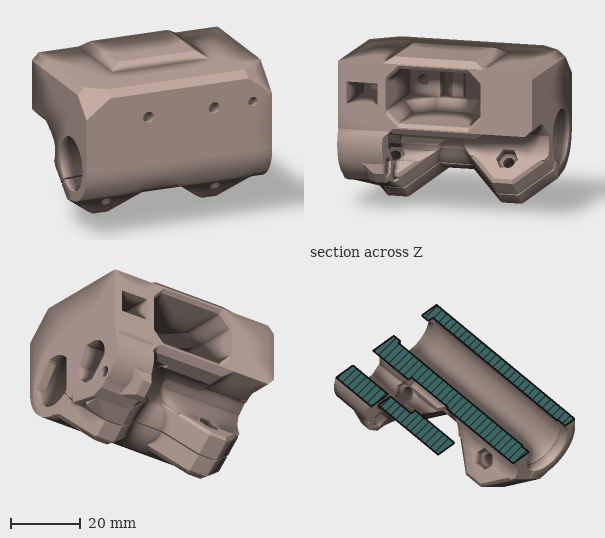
import cadquery as cq
import math

LENGTH = 58.0
BODY_RIGHT = 39.25
BODY_BOTTOM = 23.95
BODY_TOP = 42.9
EDGE_CHAMFER = 2.1
CORNER_LEGS = (8.4, 10.1, 7.8)

BORE_X = 28.35
BORE_Z = 18.5
BORE_R = 7.8
BORE_WALL_R = BODY_RIGHT - BORE_X
ENTRY_R = 8.05
ENTRY_DEPTH = 3.0
STOP_DEPTH = 2.9
STOP_LEFT_X = 22.5
STOP_SLOPE = ((30.9, 25.5), (36.25, 18.6))

EAR_ANGLE = 50.0
EAR_TIP = 19.7
EAR_TIP_HALF = 3.1
EAR_LOWER = 7.0
EAR_UPPER = 7.35
WEB_INSET = 2.9
WEB_THICKNESS = 14.5
EAR_LOWER_CHAMFER = (1.75, 1.45)
EAR_UPPER_CHAMFER = (1.05, 0.75)
EAR_SPACING = 34.0
SLIT_WIDTH = 0.5
EAR_SCREW_U = 12.2
EAR_SCREW_REACH = 11.6
EAR_NUT_TURN = 30.0
EAR_NUT_DEPTH = 2.3
SCREW_D = 3.3
NUT_CORNERS = 6.55

TROUGH_X = 10.05
TROUGH_Z = BORE_Z
TROUGH_R = 13.5 / 2
TROUGH_FLAT = 6.25
WEB_BOTTOM = 16.25
RELIEF_CENTER = (11.85, 17.2)
RELIEF_R = 6.4
FUNNEL_X = 7.3
FUNNEL_R = 7.7
BOSS_R = 11.0
BOSS_FRONT = 44.55
BOSS_SLOPE_BOTTOM = 21.0
BOSS_ARC_END = 240.0
BOSS_FOOT_X = 6.4
BOSS_SLIT_REACH = 13.9
BOSS_TOE = (10.15, 6.1)
TOE_REAR = 56.25
CHANNEL_R = 5.3
CHANNEL_START = 33.65
CHANNEL_FLOOR = 11.85
CHANNEL_FLOOR_END = 13.9
CHANNEL_SLOPE = 5.8
CHANNEL_SIDE_Z = 14.4
CHANNEL_TOP_END = 13.4
LUG_LEFT = 0.2
LUG_RIGHT = 8.1
LUG_TOP = 13.3
LUG_BOTTOM = 7.25
LUG_CHAMFER = 3.2
LUG_REAR = 47.55
LUG_REAR_SLOPE = 0.6
BOSS_SCREW = (4.8, 11.8)
BOSS_NUT_TURN = 17.0
BOSS_NUT_DEPTH = 2.9

CAVITY_Y = 29.65
CAVITY_Z = (BODY_TOP + BODY_BOTTOM) / 2
PAD_HEIGHT = 1.85
PAD_END = 24.3
PAD_HALF_WIDTH = 15.1
PAD_SIDE_RUN = 2.95
PAD_FRONT_RUN = 1.85
WINDOW_HALF_Y = 14.15
WINDOW_HALF_Z = 9.05
WINDOW_CORNER = 3.65
WINDOW_LIP = 1.05
CAVITY_SLOPE_START = 20.9
CAVITY_BACK = 24.35
BACK_HALF_Z = 4.9
BACK_HALF_Y = 6.4
SLOPE_HALF_Y = 5.3
MOUNT_HOLE_OFFSET = 10.25
SLOT_Y = (-4.95, 5.35)
SLOT_DEPTH = 3.6
SLOT_STEP = 1.15
SLOT_STEP_Y = -1.35

POCKET_Y = (46.2, 55.5)
POCKET_Z = 33.65
POCKET_HEIGHT = 6.6
POCKET_DEPTH = 17.4
POCKET_HOLE_Y = 51.95
POCKET_HOLE_D = 2.8
POCKET_SINK_D = 4.9

COS = math.cos(math.radians(EAR_ANGLE))
SIN = math.sin(math.radians(EAR_ANGLE))
EAR_OUT = cq.Vector(-COS, 0, -SIN)
EAR_DOWN = cq.Vector(SIN, 0, -COS)
EAR_ROOT_HALF = EAR_TIP_HALF + EAR_TIP
EAR_CENTERS = (LENGTH / 2 - EAR_SPACING / 2, LENGTH / 2 + EAR_SPACING / 2)


def along_y(y):
    """Sketch plane with local axes X and Z; extruding by -d grows toward +Y."""
    return cq.Workplane("XZ", origin=(0, y, 0))


def along_x(x):
    """Sketch plane with local axes Y and Z; extruding grows toward +X."""
    return cq.Workplane("YZ", origin=(x, 0, 0))


def on_slit(y):
    """Slit plane at the bore axis: local x runs out along the ears, local y is Y."""
    return cq.Workplane(cq.Plane((BORE_X, y, BORE_Z), xDir=EAR_OUT, normal=EAR_DOWN))


def box(x0, x1, y0, y1, z0, z1):
    return cq.Workplane("XY").box(x1 - x0, y1 - y0, z1 - z0, centered=False).translate((x0, y0, z0))


def tetrahedron(corner, legs):
    """Corner wedge with three legs parallel to the axes."""
    tips = [cq.Vector(*corner)]
    for axis, leg in enumerate(legs):
        tip = list(corner)
        tip[axis] += leg
        tips.append(cq.Vector(*tip))
    faces = []
    for skipped in range(len(tips)):
        loop = [tip for i, tip in enumerate(tips) if i != skipped]
        faces.append(cq.Face.makeFromWires(cq.Wire.makePolygon(loop, close=True)))
    return cq.Workplane(cq.Solid.makeSolid(cq.Shell.makeShell(faces)).fix())


def make_block():
    block = box(0, BODY_RIGHT, 0, LENGTH, BODY_BOTTOM, BODY_TOP)
    block = block.faces("<Y").edges(">Z").chamfer(EDGE_CHAMFER)
    block = block.faces(">X").edges(">Z").chamfer(EDGE_CHAMFER)
    return block


def make_pad():
    """Flat pyramid on the top face, flush with the left face at its foot."""
    foot = cq.Workplane("XY", origin=(0, CAVITY_Y, BODY_TOP))
    half = PAD_HALF_WIDTH
    top_end = PAD_END - PAD_SIDE_RUN
    top_half = half - PAD_SIDE_RUN
    return (
        foot.polyline([(0, -half), (PAD_END, -half), (PAD_END, half), (0, half)]).close()
        .workplane(offset=PAD_HEIGHT)
        .polyline([
            (PAD_FRONT_RUN, -top_half),
            (top_end, -top_half),
            (top_end, top_half),
            (PAD_FRONT_RUN, top_half),
        ]).close()
        .loft(ruled=True)
    )


def make_bore_wall():
    wall = along_y(0).center(BORE_X, BORE_Z).circle(BORE_WALL_R).extrude(-LENGTH)
    cheek = box(BORE_X, BODY_RIGHT, 0, LENGTH, BORE_Z, BODY_BOTTOM)
    web = box(TROUGH_X, BORE_X, 0, LENGTH, WEB_BOTTOM, BODY_BOTTOM)
    return wall.union(cheek).union(web)


def make_ear(y):
    outline = [(0, -EAR_ROOT_HALF), (EAR_TIP, -EAR_TIP_HALF), (EAR_TIP, EAR_TIP_HALF), (0, EAR_ROOT_HALF)]
    ear = on_slit(y).polyline(outline).close().extrude(EAR_LOWER)
    ear = ear.union(on_slit(y).polyline(outline).close().extrude(-EAR_UPPER))
    lower_face = ear.faces(cq.selectors.DirectionMinMaxSelector(EAR_DOWN, True))
    ear = lower_face.chamfer(*EAR_LOWER_CHAMFER)
    upper_face = ear.faces(cq.selectors.DirectionMinMaxSelector(EAR_DOWN, False))
    ear = upper_face.chamfer(*EAR_UPPER_CHAMFER)
    return ear.intersect(box(-LENGTH, LENGTH, 0, LENGTH, -LENGTH, BODY_TOP))


def make_front_web(y):
    """Thick root that joins the front ear to the body above the trough."""
    reach = (BORE_X - TROUGH_X) * COS
    foot = EAR_ROOT_HALF - reach
    head = EAR_ROOT_HALF - WEB_INSET
    outline = [(0, -head), (reach, -foot), (reach, foot), (0, head)]
    web = on_slit(y).polyline(outline).close().extrude(-WEB_THICKNESS)
    return web.intersect(box(0, BORE_X, 0, LENGTH, 0, BODY_TOP))


def make_trough():
    """Half-open round trough beside the bore wall with a 45 degree upper flat."""
    flat_x = TROUGH_X + TROUGH_FLAT * math.sqrt(2) - (BODY_BOTTOM - TROUGH_Z)
    cutter = along_y(0).center(TROUGH_X, TROUGH_Z).circle(TROUGH_R).extrude(-LENGTH)
    keep = along_y(0).polyline([
        (TROUGH_X - TROUGH_R, TROUGH_Z - TROUGH_R),
        (TROUGH_X + TROUGH_R, TROUGH_Z - TROUGH_R),
        (TROUGH_X + TROUGH_R, BODY_BOTTOM + flat_x - TROUGH_X - TROUGH_R),
        (flat_x, BODY_BOTTOM),
        (TROUGH_X - TROUGH_R, BODY_BOTTOM),
    ]).close().extrude(-LENGTH)
    return cutter.intersect(keep)


def make_funnel():
    """Sloped mouth of the trough in the front edge of the body."""
    slope = along_x(0).polyline([
        (0, BODY_BOTTOM),
        (0, BODY_BOTTOM + EDGE_CHAMFER),
        (EDGE_CHAMFER, BODY_BOTTOM),
    ]).close().extrude(BODY_RIGHT)
    outline = along_y(0).center(FUNNEL_X, TROUGH_Z).circle(FUNNEL_R).extrude(-EDGE_CHAMFER)
    outline = outline.union(box(0, FUNNEL_X, 0, EDGE_CHAMFER, TROUGH_Z, BODY_TOP))
    return slope.intersect(outline)


def make_boss():
    """Round boss at the rear with a toe reaching under the upper ear."""
    shoulder = TROUGH_Z + math.sqrt(BOSS_R**2 - TROUGH_X**2)
    lower = math.radians(BOSS_ARC_END)
    slit_point = (BORE_X - BOSS_SLIT_REACH * COS, BORE_Z - BOSS_SLIT_REACH * SIN)
    boss = (
        along_y(0)
        .moveTo(0, BODY_BOTTOM)
        .lineTo(0, shoulder)
        .threePointArc(
            (TROUGH_X - BOSS_R, TROUGH_Z),
            (TROUGH_X + BOSS_R * math.cos(lower), TROUGH_Z + BOSS_R * math.sin(lower)),
        )
        .lineTo(BOSS_FOOT_X, LUG_BOTTOM)
        .lineTo(*BOSS_TOE)
        .lineTo(*slit_point)
        .lineTo(BORE_X - BORE_R, BORE_Z)
        .lineTo(BORE_X - BORE_R, BODY_BOTTOM)
        .close()
        .extrude(-LENGTH)
    )
    rise = BODY_BOTTOM - BOSS_SLOPE_BOTTOM
    span = along_x(-BOSS_R).polyline([
        (BOSS_FRONT, 0),
        (BOSS_FRONT, BOSS_SLOPE_BOTTOM),
        (BOSS_FRONT - rise, BODY_BOTTOM),
        (LENGTH, BODY_BOTTOM),
        (LENGTH, 0),
    ]).close().extrude(LENGTH)
    return boss.intersect(span)


def make_toe():
    """Wedge that joins the boss to the tip of the rear upper ear."""
    tip_x = BORE_X - EAR_TIP * COS
    tip_z = BORE_Z - EAR_TIP * SIN
    wedge = along_y(0).polyline([BOSS_TOE, (tip_x, tip_z), (tip_x, BORE_Z / 2)]).close().extrude(-LENGTH)
    tip_front = EAR_CENTERS[1] - EAR_TIP_HALF
    tip_rear = EAR_CENTERS[1] + EAR_TIP_HALF
    span = along_x(0).polyline([
        (tip_front, BORE_Z),
        (tip_front, tip_z),
        (tip_rear, tip_z),
        (TOE_REAR, BOSS_TOE[1]),
        (TOE_REAR, BORE_Z),
    ]).close().extrude(BODY_RIGHT)
    flare = on_slit(EAR_CENTERS[1]).polyline([
        (0, -EAR_ROOT_HALF), (EAR_ROOT_HALF, 0), (EAR_ROOT_HALF, EAR_ROOT_HALF), (0, EAR_ROOT_HALF),
    ]).close().extrude(LENGTH, both=True)
    return wedge.intersect(span).intersect(flare)


def make_nut_lug():
    """Angular lug around the boss screw, fading into the boss behind a slanted rear face."""
    shelf = (LUG_LEFT + LUG_CHAMFER, LUG_BOTTOM)
    corner = (LUG_LEFT, LUG_BOTTOM + LUG_CHAMFER)
    section = along_y(BOSS_FRONT).polyline([
        (LUG_LEFT, LUG_TOP), corner, shelf, (LUG_RIGHT, LUG_BOTTOM), (LUG_RIGHT, LUG_TOP),
    ]).close().extrude(BOSS_FRONT - LENGTH)
    depth = LUG_REAR - BOSS_FRONT
    rise = LUG_REAR_SLOPE * LUG_RIGHT
    along_chamfer = cq.Plane((corner[0], LUG_REAR, corner[1]), xDir=(0, 1, 0), normal=(1, 0, -1))
    keep = cq.Workplane(along_chamfer).polyline([
        (-depth, -LUG_REAR_SLOPE * depth), (LUG_RIGHT, rise), (-depth, rise),
    ]).close().extrude(LENGTH, both=True)
    return section.intersect(keep)


def make_channel():
    """Passage through the boss: round at the top left, with a 45 degree lower left side."""
    left = TROUGH_X - CHANNEL_R
    diagonal = CHANNEL_R * math.sqrt(0.5)
    right = TROUGH_X + TROUGH_R
    return (
        along_y(CHANNEL_START)
        .moveTo(left, TROUGH_Z)
        .lineTo(left, CHANNEL_FLOOR + CHANNEL_SLOPE)
        .lineTo(left + CHANNEL_SLOPE, CHANNEL_FLOOR)
        .lineTo(CHANNEL_FLOOR_END, CHANNEL_FLOOR)
        .lineTo(right, CHANNEL_SIDE_Z)
        .lineTo(right, TROUGH_Z)
        .lineTo(CHANNEL_TOP_END, TROUGH_Z + CHANNEL_R)
        .lineTo(TROUGH_X, TROUGH_Z + CHANNEL_R)
        .threePointArc((TROUGH_X - diagonal, TROUGH_Z + diagonal), (left, TROUGH_Z))
        .close()
        .extrude(CHANNEL_START - LENGTH)
    )


def octagon(plane, half_z, corner):
    y = WINDOW_HALF_Y
    return plane.polyline([
        (-y, -half_z + corner), (-y + corner, -half_z), (y - corner, -half_z), (y, -half_z + corner),
        (y, half_z - corner), (y - corner, half_z), (-y + corner, half_z), (-y, half_z - corner),
    ]).close()


def cavity_plan(plane, back, back_half):
    """Plan of the cavity: a straight back edge between two 45 degree corners."""
    side = back - (WINDOW_HALF_Y - back_half)
    return plane.polyline([
        (0, -WINDOW_HALF_Y), (side, -WINDOW_HALF_Y), (back, -back_half),
        (back, back_half), (side, WINDOW_HALF_Y), (0, WINDOW_HALF_Y),
    ]).close()


def make_cavity():
    """Octagonal room with a wide mouth; floor and ceiling close in on the back wall."""
    inner_half_z = WINDOW_HALF_Z - WINDOW_LIP
    center = along_x(0).center(CAVITY_Y, CAVITY_Z)
    mouth = octagon(center, WINDOW_HALF_Z, WINDOW_CORNER).workplane(offset=WINDOW_LIP)
    mouth = octagon(mouth, inner_half_z, WINDOW_CORNER).loft(ruled=True)
    room = octagon(along_x(0).center(CAVITY_Y, CAVITY_Z), inner_half_z, WINDOW_CORNER).extrude(CAVITY_BACK)

    middle = cq.Workplane("XY", origin=(0, CAVITY_Y, CAVITY_Z))
    space = middle.rect(2 * CAVITY_BACK, 2 * WINDOW_HALF_Y).extrude(BACK_HALF_Z, both=True)
    for side in (-1, 1):
        end = cavity_plan(middle.workplane(offset=side * BACK_HALF_Z), CAVITY_BACK, BACK_HALF_Y)
        end = end.workplane(offset=side * (inner_half_z - BACK_HALF_Z))
        space = space.union(cavity_plan(end, CAVITY_SLOPE_START, SLOPE_HALF_Y).loft(ruled=True))
    return mouth.union(room.intersect(space))


def make_slot():
    """Stepped upright slot with one slanted floor, in the back wall of the cavity."""
    low_y, high_y = SLOT_Y
    outline = [
        (0, low_y),
        (SLOT_DEPTH, low_y),
        (SLOT_DEPTH, SLOT_STEP_Y),
        (SLOT_STEP, SLOT_STEP_Y),
        (SLOT_STEP, high_y - SLOT_DEPTH),
        (SLOT_STEP + SLOT_DEPTH, high_y),
        (0, high_y),
    ]
    floor = cq.Workplane("XY", origin=(CAVITY_BACK, CAVITY_Y, CAVITY_Z - BACK_HALF_Z))
    return floor.polyline(outline).close().extrude(2 * BACK_HALF_Z)


def make_mount_holes():
    spots = [(-MOUNT_HOLE_OFFSET, 0), (MOUNT_HOLE_OFFSET, 0)]
    wall = along_x(CAVITY_SLOPE_START).center(CAVITY_Y, CAVITY_Z)
    return wall.pushPoints(spots).circle(SCREW_D / 2).extrude(BODY_RIGHT)


def make_pocket():
    """Blind pocket in the left face with a countersunk hole through its floor."""
    half = POCKET_HEIGHT / 2
    pocket = box(0, POCKET_DEPTH, *POCKET_Y, POCKET_Z - half, POCKET_Z + half)
    floor = along_x(POCKET_DEPTH).center(POCKET_HOLE_Y, POCKET_Z)
    hole = floor.circle(POCKET_HOLE_D / 2).extrude(BODY_RIGHT)
    sink_depth = (POCKET_SINK_D - POCKET_HOLE_D) / 2
    sink = floor.circle(POCKET_SINK_D / 2).workplane(offset=sink_depth).circle(POCKET_HOLE_D / 2).loft()
    return pocket.union(hole).union(sink)


def make_bore():
    """Bore with a wider entry and a partly closed rear end."""
    def axis(y):
        return along_y(y).center(BORE_X, BORE_Z)

    bore = axis(0).circle(BORE_R).extrude(STOP_DEPTH - LENGTH)
    entry = axis(0).circle(ENTRY_R).extrude(-ENTRY_DEPTH)
    opening = along_y(0).polyline([
        (STOP_LEFT_X, 0),
        (BODY_RIGHT, 0),
        (BODY_RIGHT, STOP_SLOPE[1][1]),
        *reversed(STOP_SLOPE),
        (STOP_LEFT_X, BODY_BOTTOM + BORE_R),
    ]).close().extrude(-LENGTH)
    rear = axis(0).circle(BORE_R).extrude(-LENGTH).intersect(opening)
    return bore.union(entry).union(rear)


def make_slit():
    """Slit from the bore axis out past the ear tips."""
    outline = on_slit(LENGTH / 2).center(EAR_TIP / 2, 0).rect(EAR_TIP + SLIT_WIDTH, LENGTH)
    return outline.extrude(SLIT_WIDTH / 2, both=True)


def make_clamp_screw(y):
    """Screw hole across the slit with a nut trap in the upper ear."""
    spot = on_slit(y).center(EAR_SCREW_U, 0)
    hole = spot.circle(SCREW_D / 2).extrude(EAR_SCREW_REACH, both=True)
    trap = spot.workplane(offset=EAR_NUT_DEPTH - EAR_UPPER)
    trap = trap.transformed(rotate=(0, 0, EAR_NUT_TURN)).polygon(6, NUT_CORNERS).extrude(-EAR_UPPER)
    return hole.union(trap)


def make_boss_screw():
    """Screw hole along the boss with a nut trap in its front face."""
    spot = along_y(BOSS_FRONT).center(*BOSS_SCREW)
    hole = spot.circle(SCREW_D / 2).extrude(BOSS_FRONT - LENGTH)
    trap = spot.transformed(rotate=(0, 0, BOSS_NUT_TURN)).polygon(6, NUT_CORNERS).extrude(-BOSS_NUT_DEPTH)
    return hole.union(trap)


relief = along_y(0).center(*RELIEF_CENTER).circle(RELIEF_R).extrude(-LENGTH)
part = make_block().union(make_pad())
part = part.union(make_bore_wall()).cut(relief)
part = part.union(make_front_web(EAR_CENTERS[0]))
for ear_y in EAR_CENTERS:
    part = part.union(make_ear(ear_y))
part = part.cut(make_trough()).cut(make_funnel())
part = part.union(make_pad().mirror("XY", (0, 0, CAVITY_Z)).cut(relief))
part = part.union(make_boss()).union(make_toe()).union(make_nut_lug()).cut(make_channel())

part = part.cut(make_cavity()).cut(make_slot()).cut(make_mount_holes()).cut(make_pocket())
x_leg, y_leg, z_leg = CORNER_LEGS
part = part.cut(tetrahedron((BODY_RIGHT, 0, BODY_TOP), (-x_leg, y_leg, -z_leg)))
part = part.cut(tetrahedron((BODY_RIGHT, LENGTH, BODY_TOP), (-x_leg, -y_leg, -z_leg)))

part = part.cut(make_bore()).cut(make_slit()).cut(make_boss_screw())
for ear_y in EAR_CENTERS:
    part = part.cut(make_clamp_screw(ear_y))
result = part